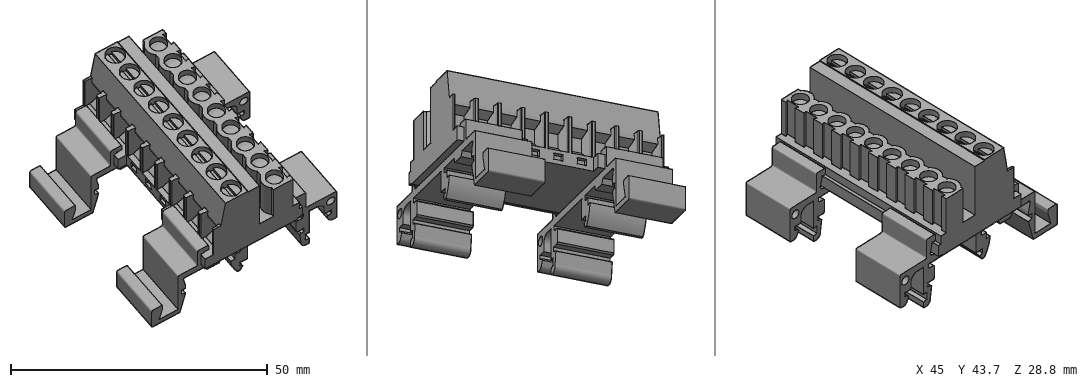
import cadquery as cq


poles = 9
block_length = 45.0
pitch = block_length / poles
pole_positions = [(i - (poles - 1) / 2) * pitch for i in range(poles)]

plate_bottom = 10.05
plate_top = 11.7
tongue_top = 14.7
shelf_top = 16.65
tower_top = 25.0
ledge_top = 22.5
housing_back_top = 28.58
housing_top = 28.8

tongue_front = 11.6
block_front = 13.6
slope_foot = 15.35
slope_head = 16.42
cap_step = 21.75
housing_back = 24.45
tower_front = 27.7
tower_back = 32.4
shelf_back = 33.9
tongue_back = 34.6

foot_width = 12.05
foot_positions = (-3 * pitch, 3 * pitch)
foot_depth = 43.7
lip_height = 5.2
lip_thickness = 2.6
lip_web = 1.25
front_leg_face = 6.25
clip_front_face = 10.8
clip_front_top = 16.3
clip_front_tip = 13.5
clip_front_undercut = 14.9
clip_back_face = 36.4
clip_back_top = 16.42
clip_back_undercut = 14.8
back_leg_notch_top = 6.6
mid_leg_notch_top = 5.5
leg_step = 8.95
pin_hole_diameter = 2.0
pin_hole_place = (42.25, 9.6)
large_round = 0.55
small_round = 0.35

tongue_length = 15.05

pocket_floor_break = 14.85
pocket_back = 17.05
pocket_back_bottom = 16.9
pocket_back_top = 20.0
lip_bottom = 21.15
lip_top = 21.85
slope_run = (slope_head - slope_foot) / (housing_top - ledge_top)
lip_face = slope_foot - (ledge_top - lip_top) * slope_run
rib_half_width = 0.45
rib_half_width_back = 1.1
rib_taper_start = 14.62
rib_chamfer = 0.2

screw_y = 19.45
screw_diameter = 4.0
screw_depth = 1.3
screw_slot_width = 0.9
screw_slot_depth = 0.68
test_hole_y = 29.65
test_hole_diameter = 3.5
test_hole_depth = 1.5
test_cone_depth = 0.25
test_hole_bottom_diameter = 1.8
bulge_chord = 3.8
bulge_rise = 0.9
key_slot_depth = 0.7
key_slot_opening = 2.5
key_slot_bottom = 2.95
window_width = 1.9
window_height = 1.35
window_bottom = 12.65
window_depth = 1.0
window_positions = (-pitch, 0, pitch)


def bar(outline, length):
    """Straight bar along X, centred on x = 0, with a (y, z) outline."""
    return cq.Workplane("YZ").polyline(outline).close().extrude(length / 2, both=True)


def round_edges(body, radius, corners):
    """Round the edges along X that pass through the given (y, z) corners."""
    for y, z in corners:
        body = body.edges(cq.selectors.NearestToPointSelector((0, y, z))).fillet(radius)
    return body


def make_foot():
    """Plate with clips on top, front leg ending in a lip, and three rail legs below."""
    spine_outline = [
        (0, 0), (0, lip_height), (lip_thickness, lip_height), (lip_thickness, 4.1),
        (1.85, lip_web), (front_leg_face, lip_web), (front_leg_face, plate_top),
        (clip_front_face, plate_top), (clip_front_face, clip_front_top),
        (clip_front_tip, clip_front_top), (clip_front_tip, clip_front_undercut),
        (12.45, clip_front_undercut), (12.35, tongue_top),
        (tongue_front, tongue_top), (tongue_front, plate_top),
        (34.9, plate_top), (35.3, 12.38), (34.88, 14.5), (34.7, clip_back_undercut),
        (shelf_back, clip_back_undercut), (shelf_back, clip_back_top),
        (clip_back_face, clip_back_top), (clip_back_face, plate_top),
        (foot_depth, plate_top), (foot_depth, plate_bottom),
        (16.45, plate_bottom), (15.98, leg_step), (13.1, leg_step), (12.5, plate_bottom),
        (7.75, plate_bottom), (7.55, 9.65), (8.05, 7.5), (8.05, 6.6), (7.1, 6.6),
        (7.1, 5.5), (8.05, 5.1), (6.7, 0),
    ]
    foot = bar(spine_outline, foot_width)
    foot = round_edges(foot, large_round, [(0, lip_height), (clip_front_face, clip_front_top)])
    foot = round_edges(foot, small_round, [
        (0, 0), (lip_thickness, lip_height), (front_leg_face, plate_top),
        (clip_front_face, plate_top), (clip_front_tip, clip_front_top),
        (shelf_back, clip_back_top), (clip_back_face, clip_back_top),
        (clip_back_face, plate_top), (foot_depth, plate_top),
    ])
    return foot.union(make_middle_leg()).union(make_inner_leg()).union(make_back_leg())


def make_middle_leg():
    """Hooked leg with a curved front edge."""
    return (
        cq.Workplane("YZ")
        .moveTo(22.65, plate_bottom)
        .lineTo(22.65, mid_leg_notch_top)
        .lineTo(20.85, mid_leg_notch_top)
        .lineTo(20.85, 4.55)
        .lineTo(21.5, 4.1)
        .lineTo(20.95, 3.15)
        .lineTo(20.3, 3.15)
        .threePointArc((19.15, 5.2), (18.68, 7.45))
        .lineTo(19.7, 7.45)
        .lineTo(19.7, leg_step)
        .lineTo(20.9, leg_step)
        .lineTo(21.15, 9.25)
        .lineTo(21.15, 9.75)
        .lineTo(20.9, plate_bottom)
        .close()
        .extrude(foot_width / 2, both=True)
    )


def make_inner_leg():
    """Long leg with notches on both sides and a rounded toe."""
    return (
        cq.Workplane("YZ")
        .moveTo(37.2, plate_bottom)
        .lineTo(37.2, 3.35)
        .lineTo(36.3, 3.35)
        .lineTo(36.3, 1.65)
        .lineTo(37.2, 1.45)
        .lineTo(37.2, 0.15)
        .lineTo(37.1, 0)
        .lineTo(36.35, 0)
        .threePointArc((35.65, 0.35), (35.3, 1.45))
        .lineTo(34.9, 4.2)
        .lineTo(35.25, 4.4)
        .lineTo(35.95, 4.55)
        .lineTo(35.95, mid_leg_notch_top)
        .lineTo(34.42, mid_leg_notch_top)
        .lineTo(34.1, 5.8)
        .lineTo(34.1, 8.65)
        .lineTo(34.42, leg_step)
        .lineTo(35.55, leg_step)
        .lineTo(35.8, 9.25)
        .lineTo(35.8, plate_bottom)
        .close()
        .extrude(foot_width / 2, both=True)
    )


def make_back_leg():
    """Leg below the back end of the plate, with an arched root and a hooked toe."""
    return (
        cq.Workplane("YZ")
        .moveTo(foot_depth, plate_bottom + small_round)
        .lineTo(foot_depth, 3.6)
        .lineTo(43.5, 3.45)
        .lineTo(42.7, 3.45)
        .threePointArc((42.1, 3.7), (41.8, 4.1))
        .lineTo(41.3, 5.05)
        .lineTo(41.6, 5.5)
        .lineTo(42.4, 5.65)
        .lineTo(42.4, back_leg_notch_top)
        .lineTo(40.7, back_leg_notch_top)
        .lineTo(40.7, 8.55)
        .threePointArc((40.25, 9.45), (39.15, plate_bottom))
        .lineTo(39.15, plate_bottom + small_round)
        .close()
        .extrude(foot_width / 2, both=True)
    )


def make_pin_hole():
    """Hole along X through the root of the back leg."""
    return (
        cq.Workplane("YZ")
        .center(*pin_hole_place)
        .circle(pin_hole_diameter / 2)
        .extrude(foot_width / 2, both=True)
    )


def make_housing():
    """Solid block outline with a tongue at each end of its front face."""
    outline = [
        (block_front, plate_top), (block_front, ledge_top), (slope_foot, ledge_top),
        (slope_head, housing_top), (cap_step, housing_top), (cap_step, housing_back_top),
        (housing_back, housing_back_top), (housing_back, shelf_top),
        (tower_front, shelf_top), (tower_front, tower_top), (tower_back, tower_top),
        (tower_back, shelf_top), (shelf_back, shelf_top), (shelf_back, tongue_top),
        (tongue_back, tongue_top), (tongue_back, 12.05), (33.6, 11.95), (33.35, plate_top),
    ]
    housing = bar(outline, block_length)
    for side in (-1, 1):
        tongue = cq.Workplane("XY").box(
            tongue_length, block_front - tongue_front, tongue_top - plate_top, centered=(True, False, False)
        )
        x = side * (block_length - tongue_length) / 2
        housing = housing.union(tongue.translate((x, tongue_front, plate_top)))
    return housing


def make_pocket():
    """Wire funnel: side walls taper in plan, floor and roof taper in section."""
    half_opening = pitch / 2 - rib_half_width
    half_back = pitch / 2 - rib_half_width_back
    half_mouth = half_opening + rib_chamfer
    right_side = [
        (half_mouth, block_front),
        (half_opening, block_front + rib_chamfer),
        (half_opening, rib_taper_start),
        (half_back, pocket_back),
    ]
    left_side = [(-x, y) for x, y in reversed(right_side)]
    plan = cq.Workplane("XY").polyline(right_side + left_side).close().extrude(housing_top)
    section = [
        (block_front, tongue_top), (pocket_floor_break, tongue_top),
        (pocket_back, pocket_back_bottom), (pocket_back, pocket_back_top),
        (lip_face, lip_bottom), (lip_face, lip_top),
        (slope_foot, ledge_top), (block_front, ledge_top),
    ]
    return plan.intersect(bar(section, pitch))


def make_screw_recess():
    """Screw bore with the driver slot of the screw head in its floor."""
    slot_floor = housing_top - screw_depth - screw_slot_depth
    head = cq.Workplane("XY").workplane(offset=slot_floor).circle(screw_diameter / 2)
    slot = cq.Workplane("XY").workplane(offset=slot_floor).rect(screw_diameter, screw_slot_width)
    slot = slot.extrude(screw_slot_depth).intersect(head.extrude(screw_slot_depth))
    bore = (
        cq.Workplane("XY")
        .workplane(offset=housing_top - screw_depth)
        .circle(screw_diameter / 2)
        .extrude(screw_depth)
    )
    return bore.union(slot).translate((0, screw_y, 0))


def make_test_hole():
    """Cylindrical hole with a shallow cone at its foot, ending in a small flat."""
    cone_top = tower_top - test_hole_depth
    return (
        cq.Workplane("XZ")
        .moveTo(0, tower_top)
        .lineTo(test_hole_diameter / 2, tower_top)
        .lineTo(test_hole_diameter / 2, cone_top)
        .lineTo(test_hole_bottom_diameter / 2, cone_top - test_cone_depth)
        .lineTo(0, cone_top - test_cone_depth)
        .close()
        .revolve(360, (0, 0, 0), (0, 1, 0))
        .translate((0, test_hole_y, 0))
    )


def make_bulge():
    """Arched column on the tower front around each test hole."""
    return (
        cq.Workplane("XY")
        .workplane(offset=shelf_top)
        .moveTo(-bulge_chord / 2, tower_front)
        .threePointArc((0, tower_front - bulge_rise), (bulge_chord / 2, tower_front))
        .close()
        .extrude(tower_top - shelf_top)
    )


def make_key_slot():
    """Dovetail groove down the back of the tower."""
    slot_floor = tower_back - key_slot_depth
    return (
        cq.Workplane("XY")
        .workplane(offset=shelf_top)
        .polyline([
            (-key_slot_opening / 2, tower_back), (key_slot_opening / 2, tower_back),
            (key_slot_bottom / 2, slot_floor), (-key_slot_bottom / 2, slot_floor),
        ])
        .close()
        .extrude(tower_top - shelf_top)
    )


def make_window():
    """Small rectangular opening in the block front below a wire funnel."""
    return (
        cq.Workplane("XY")
        .box(window_width, window_depth, window_height, centered=(True, False, False))
        .translate((0, block_front, window_bottom))
    )


def at_positions(tool, positions):
    """One compound of copies of a tool, spread along X."""
    solids = [tool.translate((x, 0, 0)).val() for x in positions]
    return cq.Workplane(cq.Compound.makeCompound(solids))


block = make_housing()
block = block.union(at_positions(make_bulge(), pole_positions))
block = block.cut(at_positions(make_pocket(), pole_positions))
block = block.cut(at_positions(make_screw_recess(), pole_positions))
block = block.cut(at_positions(make_test_hole(), pole_positions))
block = block.cut(at_positions(make_key_slot(), pole_positions))
block = block.cut(at_positions(make_window(), window_positions))

foot = make_foot().cut(make_pin_hole())
result = block
for foot_x in foot_positions:
    result = result.union(foot.translate((foot_x, 0, 0)))